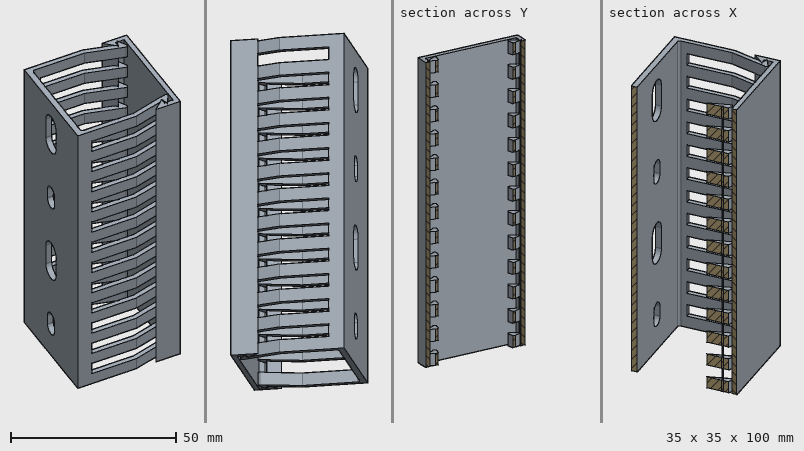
import cadquery as cq
import math

WIDTH = 35.0
DEPTH = 35.0
LENGTH = 100.0
HALF = WIDTH / 2

WALL = 1.6
FLOOR = 2.0
FLOOR_FILLET = 0.8
BEND_Y = 20.0
LEAN = math.radians(15)

FINGER_COUNT = 13
GAP_COUNT = FINGER_COUNT - 1
GAP_WIDTH = LENGTH / (FINGER_COUNT + GAP_COUNT)
GAP_START_Y = 4.8

HOOK_INSET = 1.0
HOOK_DROP = 3.9
RAMP = math.radians(45) - LEAN
CREST_RADIUS = 0.6

SHORT_SLOT = (8.0, 4.4)
LONG_SLOT = (14.0, 6.6)
SLOTS_UPWARD = (SHORT_SLOT, LONG_SLOT, SHORT_SLOT, LONG_SLOT)
SLOT_PITCH = LENGTH / len(SLOTS_UPWARD)

COVER_TOP = 1.7
SKIRT_DEPTH = 8.4
BARB_INSET = 3.4
BARB_DROP = 4.6


def crossing(point_a, slope_a, point_b, slope_b):
    """Point where two sloped lines cross, each given by a point and dy/dx."""
    rise = point_b[1] - point_a[1] + slope_b * (point_a[0] - point_b[0])
    run = rise / (slope_a - slope_b)
    return (point_a[0] + run, point_a[1] + slope_a * run)


def prism(left_points):
    """Full-length prism; the left half of its outline is mirrored across X = 0."""
    right_points = [(-x, y) for x, y in reversed(left_points)]
    return cq.Workplane("XY").polyline(left_points + right_points).close().extrude(LENGTH)


def round_edges(body, left_point, radius):
    """Fillet the lengthwise edge at left_point and its mirror image."""
    x, y = left_point
    for side_x in (x, -x):
        edge = cq.selectors.NearestToPointSelector((side_x, y, LENGTH / 2))
        body = body.edges(edge).fillet(radius)
    return body


INNER_X = -HALF + WALL
FINGER_SLOPE = 1 / math.tan(LEAN)
RAMP_SLOPE = math.tan(RAMP)
OUTER_BEND = (-HALF, BEND_Y)
INNER_BEND = (INNER_X, BEND_Y - WALL * math.tan(LEAN / 2))
FLOOR_CORNER = (INNER_X, FLOOR)
SKIRT_END = (-HALF, DEPTH - SKIRT_DEPTH)
BARB_TIP = (-HALF + BARB_INSET, DEPTH - BARB_DROP)
HOOK_TIP = (-HALF + HOOK_INSET, DEPTH - HOOK_DROP)
CREST = crossing(HOOK_TIP, RAMP_SLOPE, INNER_BEND, FINGER_SLOPE)

BEVEL_SLOPE = (BARB_TIP[1] - SKIRT_END[1]) / BARB_INSET
BEVEL_CONTACT = crossing(SKIRT_END, BEVEL_SLOPE, OUTER_BEND, FINGER_SLOPE)

UNDERSIDE_SLOPE = (BARB_TIP[1] - HOOK_TIP[1]) / (BARB_TIP[0] - HOOK_TIP[0])
GROOVE_DEPTH = INNER_X - HOOK_TIP[0]
GROOVE_TOP = (INNER_X, HOOK_TIP[1] + RAMP_SLOPE * GROOVE_DEPTH)
GROOVE_BOTTOM = (INNER_X, HOOK_TIP[1] + UNDERSIDE_SLOPE * GROOVE_DEPTH)


def make_duct():
    duct = prism([
        (-HALF, 0),
        OUTER_BEND,
        BEVEL_CONTACT,
        BARB_TIP,
        HOOK_TIP,
        CREST,
        INNER_BEND,
        FLOOR_CORNER,
    ])
    duct = round_edges(duct, FLOOR_CORNER, FLOOR_FILLET)
    duct = round_edges(duct, CREST, CREST_RADIUS)
    duct = cut_finger_gaps(duct)
    return cut_mounting_slots(duct)


def cut_finger_gaps(duct):
    """Open the gaps between fingers through both side walls."""
    gap = cq.Workplane("XY").box(WIDTH, DEPTH, GAP_WIDTH, centered=(True, False, False))
    for i in range(GAP_COUNT):
        gap_bottom = (2 * i + 1) * GAP_WIDTH
        duct = duct.cut(gap.translate((0, GAP_START_Y, gap_bottom)))
    return duct


def cut_mounting_slots(duct):
    """Cut the row of alternating short and long slots through the floor."""
    for i, (length, width) in enumerate(SLOTS_UPWARD):
        middle = (i + 0.5) * SLOT_PITCH
        slot = cq.Workplane("XZ").center(0, middle).slot2D(length, width, angle=90).extrude(-FLOOR)
        duct = duct.cut(slot)
    return duct


def make_cover():
    return prism([
        (-HALF, DEPTH),
        SKIRT_END,
        BARB_TIP,
        (INNER_X, BARB_TIP[1]),
        GROOVE_BOTTOM,
        HOOK_TIP,
        GROOVE_TOP,
        (INNER_X, DEPTH - COVER_TOP),
    ])


duct = make_duct()
cover = make_cover()
result = cq.Compound.makeCompound([duct.solids().val(), cover.val()])